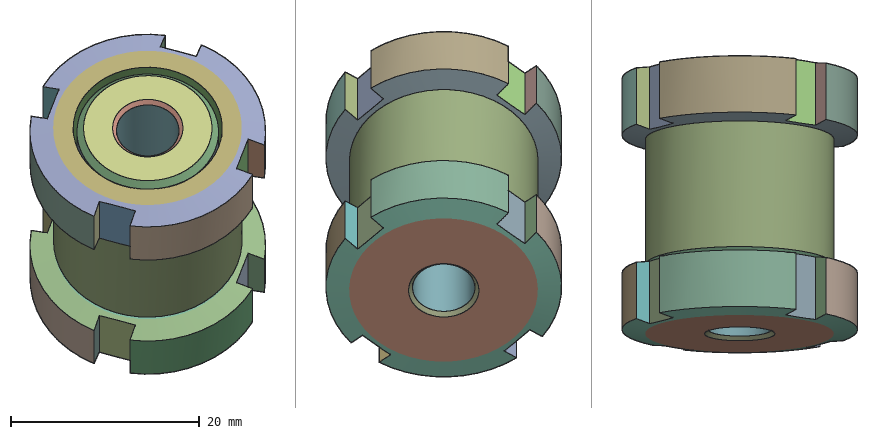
import cadquery as cq

total_height = 28.0

flange_radius = 12.5
flange_height = 7.0
flange_bevel_height = 0.45
slot_width = 4.0
slot_floor = 10.53
slot_count = 4

sleeve_radius = 10.0
sleeve_chamfer = 0.42
sleeve_bore_radius = 7.9

spigot_radius = 7.5
spigot_chamfer = 0.7
bore_radius = 3.3
bore_chamfer = 0.42


def slotted_flange(base_z):
    """Round flange, bevelled on both faces down to the sleeve radius, with slots around its rim."""
    top_z = base_z + flange_height
    flange = (
        cq.Workplane("XZ")
        .moveTo(0, base_z)
        .lineTo(sleeve_radius, base_z)
        .lineTo(flange_radius, base_z + flange_bevel_height)
        .lineTo(flange_radius, top_z - flange_bevel_height)
        .lineTo(sleeve_radius, top_z)
        .lineTo(0, top_z)
        .close()
        .revolve(360, (0, 0, 0), (0, 1, 0))
    )
    cutter = (
        cq.Workplane("XY")
        .box(flange_radius, slot_width, flange_height, centered=(False, True, False))
        .translate((slot_floor, 0, base_z))
    )
    for index in range(slot_count):
        flange = flange.cut(cutter.rotate((0, 0, 0), (0, 0, 1), index * 360 / slot_count))
    return flange


def make_sleeve_nut():
    """Upper flange with a sleeve that stands on the lower flange."""
    flange_base = total_height - flange_height
    sleeve = (
        cq.Workplane("XY", origin=(0, 0, flange_height))
        .circle(sleeve_radius)
        .extrude(flange_base - flange_height)
        .faces("<Z")
        .chamfer(sleeve_chamfer)
    )
    bore = cq.Workplane("XY").circle(sleeve_bore_radius).extrude(total_height)
    return slotted_flange(flange_base).union(sleeve).cut(bore)


def make_spigot_screw():
    """Lower flange with a hollow spigot that rises through the sleeve, flush with its top."""
    spigot = (
        cq.Workplane("XZ")
        .lineTo(spigot_radius, 0)
        .lineTo(spigot_radius, total_height - spigot_chamfer)
        .lineTo(spigot_radius - spigot_chamfer, total_height)
        .lineTo(0, total_height)
        .close()
        .revolve(360, (0, 0, 0), (0, 1, 0))
    )
    mouth_radius = bore_radius + bore_chamfer
    bore = (
        cq.Workplane("XZ")
        .lineTo(mouth_radius, 0)
        .lineTo(bore_radius, bore_chamfer)
        .lineTo(bore_radius, total_height - bore_chamfer)
        .lineTo(mouth_radius, total_height)
        .lineTo(0, total_height)
        .close()
        .revolve(360, (0, 0, 0), (0, 1, 0))
    )
    return slotted_flange(0).union(spigot).cut(bore)


sleeve_nut = make_sleeve_nut()
spigot_screw = make_spigot_screw()

result = cq.Compound.makeCompound([sleeve_nut.val(), spigot_screw.val()])